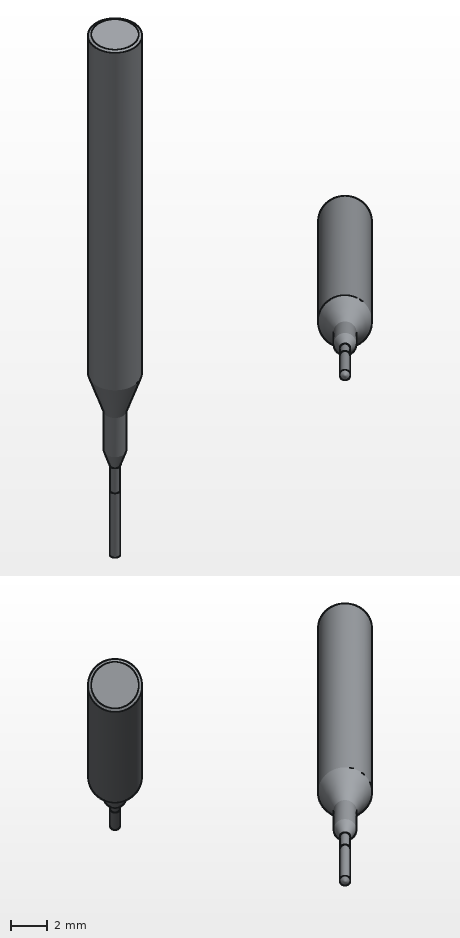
import cadquery as cq
import math

total_length = 37.5

shank_diameter = 3.0
shank_bottom_z = 13.2
end_chamfer_width = 0.2
end_chamfer_height = 0.08
step_diameter = 1.28
step_top_z = 10.5
step_bottom_z = 7.7
neck_diameter = 0.55
neck_top_z = 6.6

bit_diameter = 0.6
bit_top_z = 4.8
point_angle = 118.0

shank_radius = shank_diameter / 2
step_radius = step_diameter / 2
neck_radius = neck_diameter / 2
bit_radius = bit_diameter / 2
point_height = bit_radius / math.tan(math.radians(point_angle / 2))


def revolve_about_z(profile_points):
    """Revolve a closed (radius, z) outline a full turn about the Z axis."""
    return cq.Workplane("XZ").polyline(profile_points).close().revolve(360, (0, 0, 0), (0, 1, 0))


def make_shank():
    """Chamfered shank, its stepped cones and the neck, ending on top of the bit."""
    return revolve_about_z([
        (0, total_length),
        (shank_radius - end_chamfer_width, total_length),
        (shank_radius, total_length - end_chamfer_height),
        (shank_radius, shank_bottom_z),
        (step_radius, step_top_z),
        (step_radius, step_bottom_z),
        (bit_radius, neck_top_z),
        (neck_radius, neck_top_z),
        (neck_radius, bit_top_z),
        (0, bit_top_z),
    ])


def make_bit():
    """Cutting cylinder with its point at the origin."""
    return revolve_about_z([
        (0, bit_top_z),
        (bit_radius, bit_top_z),
        (bit_radius, point_height),
        (0, 0),
    ])


shank = make_shank()
bit = make_bit()

result = cq.Compound.makeCompound([shank.val(), bit.val()])